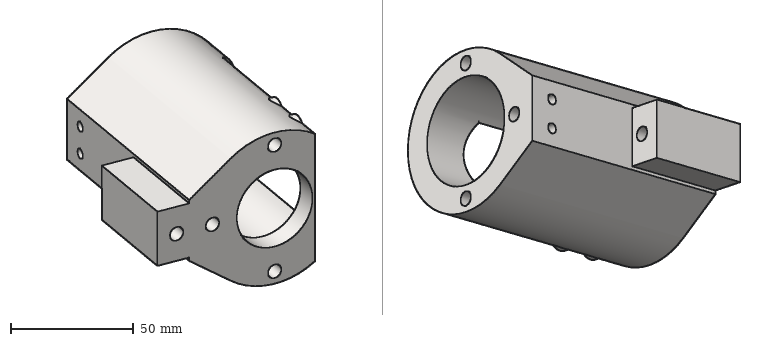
import cadquery as cq
import math

length = 102.0
overall_width = 90.0
outer_radius = 35.0
mount_face_y = -40.1
mount_face_half_height = 14.1

bore_radius = 23.4
end_bore_radius = 17.7
end_wall = 10.2

flat_y = 19.0
rim_length = 8.8

block_start = 55.6
block_end_y = outer_radius - overall_width
block_half_height = 12.5
block_hole_y = -46.0

long_hole_diameter = 6.2
long_hole_circle_radius = 29.2

face_hole_x = 11.0
face_hole_spacing = 12.4
face_hole_diameter = 4.4
face_hole_depth = 10.2

boss_positions_x = (70.1, 87.1)
boss_radius = 5.6
boss_crest_z = 31.3
boss_length = 6.7


def x_cylinder(radius, y=0, z=0, size=length):
    """Cylinder along X, starting at the -X end face."""
    return cq.Workplane("YZ").center(y, z).circle(radius).extrude(size)


def make_body():
    """Round body with sides tangent to the circle running to the mounting face."""
    corner_distance = math.hypot(mount_face_y, mount_face_half_height)
    corner_angle = math.atan2(mount_face_half_height, mount_face_y)
    tangent_angle = corner_angle - math.acos(outer_radius / corner_distance)
    tangent_y = outer_radius * math.cos(tangent_angle)
    tangent_z = outer_radius * math.sin(tangent_angle)
    return (
        cq.Workplane("YZ")
        .moveTo(mount_face_y, -mount_face_half_height)
        .lineTo(tangent_y, -tangent_z)
        .threePointArc((outer_radius, 0), (tangent_y, tangent_z))
        .lineTo(mount_face_y, mount_face_half_height)
        .close()
        .extrude(length)
    )


def make_flat_cut():
    """Material removed above the ramp and the flat."""
    ramp_end = rim_length + outer_radius - flat_y
    profile = [
        (rim_length, outer_radius),
        (ramp_end, flat_y),
        (length, flat_y),
        (length, outer_radius),
    ]
    return cq.Workplane("XY").polyline(profile).close().extrude(outer_radius, both=True)


def make_block():
    return cq.Workplane("XY").box(
        length - block_start,
        mount_face_y - block_end_y,
        2 * block_half_height,
        centered=(False, False, True),
    ).translate((block_start, block_end_y, 0))


def y_cylinder(radius, x, z, start_y, size):
    """Cylinder along Y, running from start_y toward +Y."""
    axis = cq.Vector(0, 1, 0)
    return cq.Workplane(cq.Solid.makeCylinder(radius, size, cq.Vector(x, start_y, z), axis))


result = make_body().cut(make_flat_cut()).union(make_block())

for boss_x in boss_positions_x:
    for side in (-1, 1):
        boss_z = side * (boss_crest_z - boss_radius)
        boss = y_cylinder(boss_radius, boss_x, boss_z, flat_y - boss_length, boss_length)
        result = result.union(boss)

result = result.cut(x_cylinder(bore_radius, size=length - end_wall))
result = result.cut(x_cylinder(end_bore_radius))

long_hole_centres = [
    (0, long_hole_circle_radius),
    (0, -long_hole_circle_radius),
    (-long_hole_circle_radius, 0),
    (block_hole_y, 0),
]
for hole_y, hole_z in long_hole_centres:
    result = result.cut(x_cylinder(long_hole_diameter / 2, hole_y, hole_z))

for side in (-1, 1):
    hole_z = side * face_hole_spacing / 2
    result = result.cut(
        y_cylinder(face_hole_diameter / 2, face_hole_x, hole_z, mount_face_y, face_hole_depth)
    )